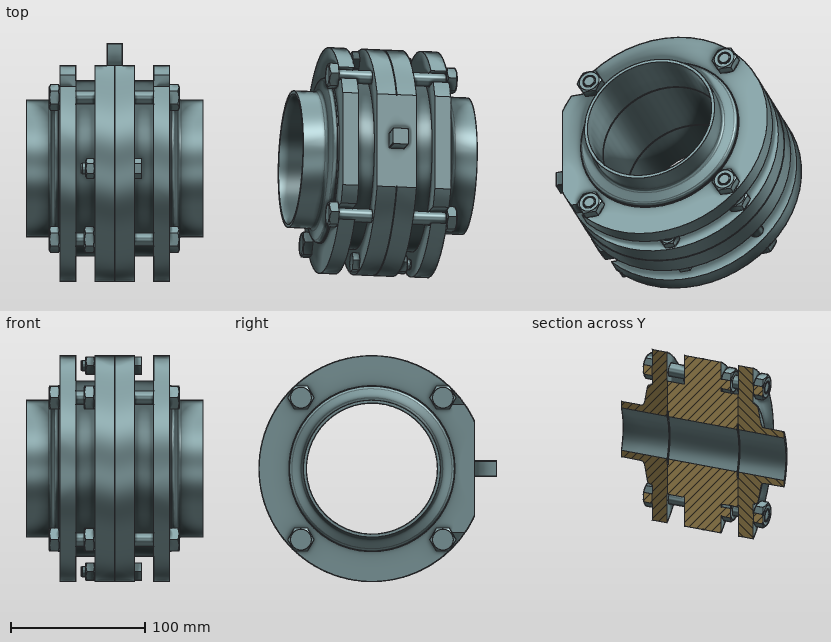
import cadquery as cq
import math


overall_length_y = 177.5
half_length = 66.0
plate_diameter = 168.8
plate_flat_y = 76.7
bore_diameter = 97.6
bolt_circle_diameter = 149.8
bolt_offset = bolt_circle_diameter / 2 * math.cos(math.radians(45))

disc_half_width = 14.9
hub_diameter = 131.0
hub_half_length = 29.0
end_recess_diameter = 101.2
end_recess_depth = 1.0
seam_width = 0.5
seam_depth = 0.27
stem_side = 11.9
stem_edge_chamfer = 0.5
stem_end_y = overall_length_y - plate_diameter / 2

flange_thickness = 12.0
flange_face_x = hub_half_length + flange_thickness
pipe_diameter = 102.2
raised_face_diameter = 124.0
raised_face_height = 1.0
collar_diameter = 123.0
collar_end_x = 44.5
cone_end_x = 47.7
neck_radius = 2.5
bolt_slot_width = 10.5

bolt_diameter = 10.0
bolt_tip_diameter = 8.0
bolt_end_chamfer = (bolt_diameter - bolt_tip_diameter) / 2
bolt_hex_flats = 17.0
bolt_nut_height = 8.0
bolt_head_height = 7.3

screw_offset_z = 76.9
screw_diameter = 8.0
screw_end_x = -25.0
screw_tip_diameter = 6.7
screw_tip_length = 1.0
screw_hex_flats = 13.0
screw_nut_height = 6.7
screw_head_height = 5.1

hex_face_ratio = 0.91
hex_chamfer_angle = 30.0


def rod(diameter, x_start, x_end):
    """Round bar along X."""
    plane = cq.Workplane("YZ").workplane(offset=x_start)
    return plane.circle(diameter / 2).extrude(x_end - x_start)


def hexagon(flats, x_start, x_end, chamfer_start=False, chamfer_end=False):
    """Hexagonal prism along X, corners on +-Y, with optional conical end chamfers."""
    corner_diameter = flats / math.cos(math.radians(30))
    prism = (
        cq.Workplane("YZ").workplane(offset=x_start)
        .polygon(6, corner_diameter).extrude(x_end - x_start)
    )
    radial = (corner_diameter - hex_face_ratio * flats) / 2
    axial = radial * math.tan(math.radians(hex_chamfer_angle))
    envelope = rod(corner_diameter, x_start, x_end)
    if chamfer_start:
        envelope = envelope.faces("<X").chamfer(axial, radial)
    if chamfer_end:
        envelope = envelope.faces(">X").chamfer(axial, radial)
    return prism.intersect(envelope)


def plate(x_start, x_end):
    """Round plate with the flat on its +Y side."""
    disc = rod(plate_diameter, x_start, x_end)
    trim = cq.Workplane("XY").box(
        x_end - x_start, plate_diameter, plate_diameter, centered=(False, False, True)
    )
    return disc.cut(trim.translate((x_start, plate_flat_y, 0)))


def through_bolt(has_middle_nut):
    """Bolt along X with its head at +X, a nut at -X and, if asked, a nut on the valve disc."""
    nut_end_x = -flange_face_x - bolt_nut_height
    bolt = rod(bolt_diameter, nut_end_x, flange_face_x).faces("<X").chamfer(bolt_end_chamfer)
    end_nut = hexagon(bolt_hex_flats, nut_end_x, -flange_face_x, True, True)
    end_nut = end_nut.cut(rod(bolt_diameter, nut_end_x, -flange_face_x))
    bolt = bolt.union(end_nut)
    head_end_x = flange_face_x + bolt_head_height
    bolt = bolt.union(hexagon(bolt_hex_flats, flange_face_x, head_end_x, False, True))
    if has_middle_nut:
        nut_start_x = -disc_half_width - bolt_nut_height
        bolt = bolt.union(hexagon(bolt_hex_flats, nut_start_x, -disc_half_width, True, True))
    return bolt


def disc_screw():
    """Small screw along X that joins the two valve discs."""
    tip_step = (screw_diameter - screw_tip_diameter) / 2
    nut_start_x = -disc_half_width - screw_nut_height
    screw = rod(screw_diameter, screw_end_x, disc_half_width)
    screw = screw.faces("<X").chamfer(screw_tip_length, tip_step)
    screw = screw.union(hexagon(screw_hex_flats, nut_start_x, -disc_half_width, True, True))
    head_end_x = disc_half_width + screw_head_height
    return screw.union(hexagon(screw_hex_flats, disc_half_width, head_end_x))


def stem():
    """Square stem out of the +Y flat, with its long edges chamfered."""
    stem_start_y = hub_diameter / 2
    bar = cq.Workplane("XY").box(
        stem_side, stem_end_y - stem_start_y, stem_side, centered=(True, False, True)
    )
    return bar.edges("|Y").chamfer(stem_edge_chamfer).translate((0, stem_start_y, 0))


def make_valve_body():
    """Discs, hub, stem, screws and through bolts as one solid."""
    body = plate(-disc_half_width, disc_half_width)
    seam = rod(plate_diameter, -seam_width / 2, seam_width / 2)
    seam = seam.cut(rod(plate_diameter - 2 * seam_depth, -seam_width / 2, seam_width / 2))
    body = body.cut(seam)
    body = body.union(rod(hub_diameter, -hub_half_length, hub_half_length))
    body = body.cut(rod(bore_diameter, -hub_half_length, hub_half_length))
    recess_bottom_x = hub_half_length - end_recess_depth
    body = body.cut(rod(end_recess_diameter, recess_bottom_x, hub_half_length))
    body = body.cut(rod(end_recess_diameter, -hub_half_length, -recess_bottom_x))
    body = body.union(stem())
    for side_z in (-1, 1):
        body = body.union(disc_screw().translate((0, 0, side_z * screw_offset_z)))
        for side_y in (-1, 1):
            bolt = through_bolt(has_middle_nut=side_y < 0)
            body = body.union(bolt.translate((0, side_y * bolt_offset, side_z * bolt_offset)))
    return body


def weld_neck():
    """Raised face, collar, cone and pipe outside the +X flange plate, as a solid of revolution."""
    raised_end_x = flange_face_x + raised_face_height
    neck = (
        cq.Workplane("XY")
        .moveTo(hub_half_length, 0)
        .lineTo(hub_half_length, raised_face_diameter / 2)
        .lineTo(raised_end_x, raised_face_diameter / 2)
        .lineTo(raised_end_x, collar_diameter / 2)
        .lineTo(collar_end_x, collar_diameter / 2)
        .lineTo(cone_end_x, pipe_diameter / 2)
        .lineTo(half_length, pipe_diameter / 2)
        .lineTo(half_length, 0)
        .close()
        .revolve(360, (0, 0, 0), (1, 0, 0))
    )
    cone_edges = cq.selectors.BoxSelector(
        ((raised_end_x + collar_end_x) / 2, -plate_diameter, -plate_diameter),
        ((cone_end_x + half_length) / 2, plate_diameter, plate_diameter),
        boundingbox=True,
    )
    return neck.edges("%CIRCLE").edges(cone_edges).fillet(neck_radius)


def make_weld_flange():
    """The +X flange: plate with bolt holes at -Y and open bolt slots at +Y, and its weld neck."""
    flange = plate(hub_half_length, flange_face_x).union(weld_neck())
    flange = flange.cut(rod(bore_diameter, hub_half_length, half_length))

    hole = rod(bolt_slot_width, hub_half_length, flange_face_x)
    slot_run = cq.Workplane("XY").box(
        flange_thickness, plate_diameter / 2, bolt_slot_width, centered=(False, False, True)
    )
    slot = hole.union(slot_run.translate((hub_half_length, 0, 0)))
    for side_z in (-1, 1):
        flange = flange.cut(hole.translate((0, -bolt_offset, side_z * bolt_offset)))
        flange = flange.cut(slot.translate((0, bolt_offset, side_z * bolt_offset)))
    return flange


valve_body = make_valve_body()
right_flange = make_weld_flange()
left_flange = right_flange.mirror("YZ")

result = cq.Compound.makeCompound([
    valve_body.solids().val(),
    left_flange.solids().val(),
    right_flange.solids().val(),
])